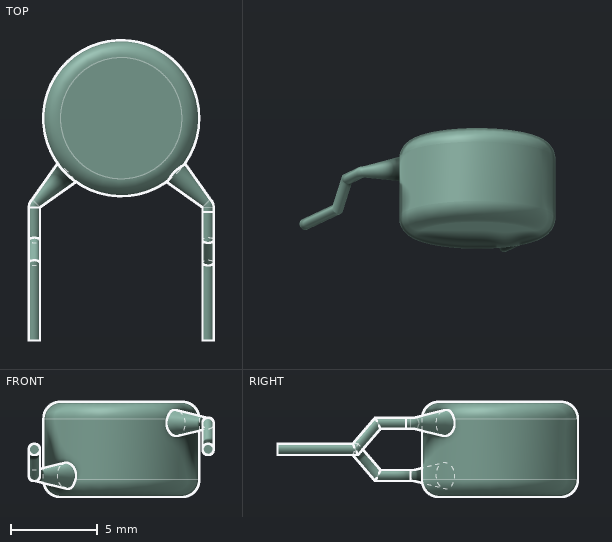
import cadquery as cq
import math


disc_diameter = 9.0
disc_height = 5.5
disc_edge_radius = 1.0

wire_diameter = 0.65
lead_spacing = 10.0
lead_exit_height = 1.5
lead_tip_y = -12.8
jog_start_y = -7.02
jog_length_y = 1.3

neck_base_radius = 0.75
neck_angle = 45.0
elbow_radius = 0.35
right_neck_stub = 0.26

disc_radius = disc_diameter / 2
wire_radius = wire_diameter / 2
lead_x = lead_spacing / 2
corner_y = -lead_x / math.tan(math.radians(neck_angle))
elbow_tangent = elbow_radius * math.tan(math.radians(neck_angle / 2))
elbow_end_y = corner_y - elbow_tangent
neck_tip_distance = math.hypot(lead_x, corner_y) - elbow_tangent
neck_taper = (neck_base_radius - wire_radius) / (neck_tip_distance - disc_radius)
neck_root_distance = disc_radius - disc_edge_radius
neck_root_radius = wire_radius + neck_taper * (neck_tip_distance - neck_root_distance)


def make_housing():
    """Round disc with both rims rounded."""
    disc = cq.Workplane("XY").cylinder(disc_height, disc_radius)
    return disc.edges("%CIRCLE").fillet(disc_edge_radius).solids()


def wire_section(x, y, z):
    """Wire circle at a point, with its normal toward -Y."""
    return cq.Workplane("XZ", origin=(x, y, z)).circle(wire_radius)


def make_neck(side, stub, housing):
    """Cone on the disc wall, elbow and optional straight stub; side is -1 (left, low) or +1 (right, high)."""
    x = side * lead_x
    z = side * lead_exit_height
    outward = cq.Vector(x, corner_y, 0).normalized()

    root = cq.Vector(0, 0, z) + outward * neck_root_distance
    cone = cq.Workplane(
        cq.Solid.makeCone(
            neck_root_radius, wire_radius, neck_tip_distance - neck_root_distance, root, outward
        )
    )
    elbow = wire_section(x, elbow_end_y, z).revolve(
        neck_angle,
        (-side * elbow_radius, 0),
        (-side * elbow_radius, side),
    )
    neck = cone.cut(housing).union(elbow)
    if stub > 0:
        neck = neck.union(wire_section(x, elbow_end_y, z).extrude(stub))
    return neck.solids()


def make_lead(side, stub):
    """Straight wire with a mitred jog that brings it to mid-height."""
    x = side * lead_x
    z = side * lead_exit_height
    start_y = elbow_end_y - stub
    path = cq.Workplane("YZ", origin=(x, 0, 0)).polyline(
        [
            (start_y, z),
            (jog_start_y, z),
            (jog_start_y - jog_length_y, 0),
            (lead_tip_y, 0),
        ]
    )
    return wire_section(x, start_y, z).sweep(path, transition="right")


housing = make_housing()
necks = []
leads = []
for side, stub in ((-1, 0), (1, right_neck_stub)):
    necks.append(make_neck(side, stub, housing).val())
    leads.append(make_lead(side, stub).val())

result = cq.Compound.makeCompound([housing.val(), *necks, *leads])